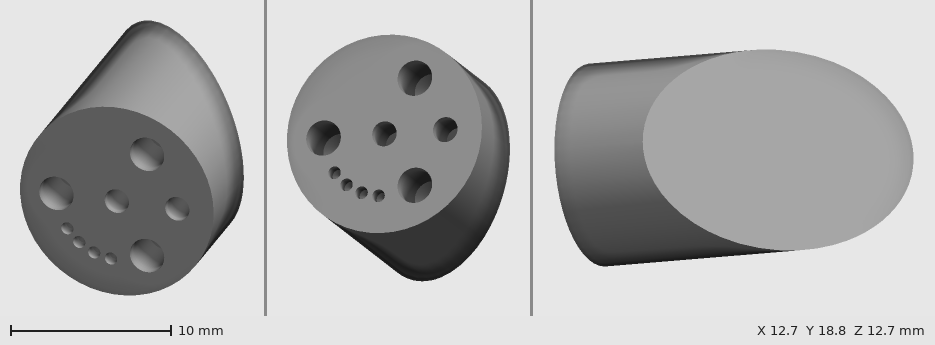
import cadquery as cq
import math

length = 18.8
diameter = 12.7
radius = diameter / 2
short_side = length - diameter

pitch_radius = 3.97
tip_angle = 118.0

mount_diameter = 2.25
mount_depth = 3.76
mount_angles = [60.0, 180.0, 300.0]

pin_diameter = 1.6
pin_depth = 3.0

marker_diameter = 0.8
marker_depth = 0.94
marker_count = 4
marker_start = 215.0
marker_step = 16.5


def on_pitch_circle(angle):
    turn = math.radians(angle)
    return pitch_radius * math.cos(turn), pitch_radius * math.sin(turn)


def flat_hole(center, hole_diameter, depth):
    x, z = center
    return cq.Workplane("XZ", origin=(x, 0, z)).circle(hole_diameter / 2).extrude(-depth)


def drilled_hole(center, hole_diameter, depth):
    """Straight hole of the given depth, ending in a conical drill tip."""
    x, z = center
    hole_radius = hole_diameter / 2
    tip_length = hole_radius / math.tan(math.radians(tip_angle / 2))
    profile = (
        cq.Workplane("XY", origin=(x, 0, z))
        .polyline([(0, 0), (hole_radius, 0), (hole_radius, depth), (0, depth + tip_length)])
        .close()
    )
    return profile.revolve(360, (0, 0, 0), (0, 1, 0))


cylinder = (
    cq.Workplane("XZ")
    .circle(radius)
    .extrude(-length)
)
side_outline = (
    cq.Workplane("XY", origin=(0, 0, -radius))
    .polyline([(-radius, 0), (radius, 0), (radius, short_side), (-radius, length)])
    .close()
    .extrude(diameter)
)
result = cylinder.intersect(side_outline)

for angle in mount_angles:
    result = result.cut(drilled_hole(on_pitch_circle(angle), mount_diameter, mount_depth))

for center in [(0, 0), on_pitch_circle(0)]:
    result = result.cut(flat_hole(center, pin_diameter, pin_depth))

for index in range(marker_count):
    center = on_pitch_circle(marker_start + index * marker_step)
    result = result.cut(drilled_hole(center, marker_diameter, marker_depth))